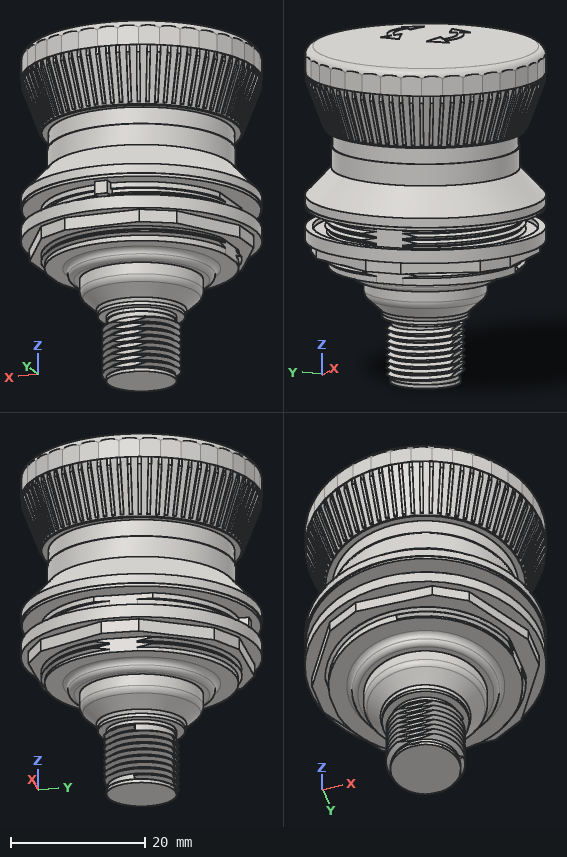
import cadquery as cq
import math


TOTAL_HEIGHT = 53.1
STEM_TOP = 10.0
COLLAR_EDGE = 10.5
COLLAR_TOP = 11.1
CONE_TOP = 12.95
HUB_FILLET_TOP = 14.0
HUB_TOP = 15.75
STEP_EDGE = 16.6
THREAD_BOTTOM = 17.6
NUT_BOTTOM = 19.75
NUT_TOP = 21.65
WASHER_TOP = 23.7
FLANGE_BOTTOM = 26.6
FLANGE_STEP = 27.1
FLANGE_TOP = 28.5
FLANGE_CONE_TOP = 32.65
BODY_TOP = 35.95
HEAD_BOTTOM = 38.55
BAND_BOTTOM = 47.1
RIM_TOP = 51.15

MAX_R = 36.0 / 2
COLLAR_R = 13.0 / 2
COLLAR_TOP_R = 6.75
HUB_R = 18.5 / 2
CONE_TOP_R = HUB_R - 0.4
STEP_R = 22.0 / 2
STEP_TOP_R = 11.8
FLANGE_STEP_R = 35.75 / 2
BODY_R = 28.15 / 2
NECK_R = 27.8 / 2
DOME_R = 33.7 / 2

STEM_THREAD_LENGTH = 7.95
STEM_THREAD_TURNS = 8
PITCH = STEM_THREAD_LENGTH / STEM_THREAD_TURNS
STEM_THREAD_START = 0.95
STEM_ROOT_R = 10.1 / 2
STEM_PLAIN_R = 10.5 / 2
STEM_LEAD = 0.6
STEM_CREST_R = 11.8 / 2
STEM_FLAT_WIDTH = 10.35
BODY_THREAD_START = 18.25
BODY_THREAD_TURNS = 7
BODY_THREAD_TURN_OFFSET = -90
BODY_SHOULDER = 25.75
BODY_ROOT_R = 28.95 / 2
BODY_CREST_R = 30.0 / 2
BODY_FLAT_WIDTH = 28.6
THREAD_OVERLAP = 0.05
RIDGE_HALF_WIDTH = 0.45 * PITCH

KEY_WIDTH = 2.0
KEY_REACH = 16.5
KEY_HEIGHT = 1.95

NUT_ACROSS_FLATS = 32.0
NUT_ACROSS_CUT_CORNERS = 33.7

WASHER_RECESS_R = 33.7 / 2
WASHER_RECESS_DEPTH = 0.7

FACETS = 36
RIM_RADIUS = 1.5
RIBS = 72
RIB_WIDTH = 0.5
RIB_R = 35.75 / 2
RIB_SLOPE_TOP = 46.0
RIB_FOOT_R = 15.25
RIB_FOOT = 39.05
RIB_HEIGHT = 0.3
CONE_FOOT_R = RIB_FOOT_R - RIB_HEIGHT
CONE_FOOT = 38.75

ARROW_RELIEF = 0.05
ARROW_OUTER_R = 5.75
ARROW_INNER_R = 4.8
ARROW_HEAD_ANGLE = 35.0
ARROW_HEAD_LENGTH = 2.9
ARROW_HEAD_WIDTH = 3.35
ARROW_HEAD_TILT = 45.0

DOME_SAG = TOTAL_HEIGHT - RIM_TOP
SPHERE_R = (DOME_R**2 + DOME_SAG**2) / (2 * DOME_SAG)


def cylinder(radius, bottom, top):
    return cq.Workplane("XY").workplane(offset=bottom).circle(radius).extrude(top - bottom)


def hexagon(across_flats, bottom, top, turn):
    corner_diameter = across_flats / math.cos(math.pi / 6)
    prism = cq.Workplane("XY").workplane(offset=bottom).polygon(6, corner_diameter).extrude(top - bottom)
    return prism.rotate((0, 0, 0), (0, 0, 1), turn)


def thread_ridge(root_r, crest_r, start, length):
    """A helical V-shaped ridge whose base is sunk a little into the core."""
    base_r = root_r - THREAD_OVERLAP
    path = cq.Wire.makeHelix(PITCH, length, base_r).translate(cq.Vector(0, 0, start))
    profile = (
        cq.Workplane("XZ")
        .polyline([
            (base_r, start - RIDGE_HALF_WIDTH),
            (crest_r, start),
            (base_r, start + RIDGE_HALF_WIDTH),
        ])
        .close()
    )
    return profile.sweep(cq.Workplane(path), isFrenet=True)


def threaded_stem():
    core = cylinder(STEM_ROOT_R, 0, STEM_TOP)
    lead = cylinder(STEM_PLAIN_R, 0, STEM_LEAD)
    shoulder = cylinder(STEM_PLAIN_R, STEM_TOP - STEM_LEAD, STEM_TOP)
    ridge = thread_ridge(STEM_ROOT_R, STEM_CREST_R, STEM_THREAD_START, STEM_THREAD_LENGTH)
    flats = cq.Workplane("XY").box(2 * MAX_R, STEM_FLAT_WIDTH, STEM_TOP, centered=(True, True, False))
    return core.union(lead).union(shoulder).union(ridge).intersect(flats)


def threaded_body():
    height = FLANGE_BOTTOM - THREAD_BOTTOM
    core = cylinder(BODY_ROOT_R, THREAD_BOTTOM, FLANGE_BOTTOM)
    plain_top = cylinder(BODY_CREST_R, BODY_SHOULDER, FLANGE_BOTTOM)
    ridge = thread_ridge(BODY_ROOT_R, BODY_CREST_R, BODY_THREAD_START, BODY_THREAD_TURNS * PITCH)
    ridge = ridge.rotate((0, 0, 0), (0, 0, 1), BODY_THREAD_TURN_OFFSET)
    flats = cq.Workplane("XY").workplane(offset=THREAD_BOTTOM).box(
        BODY_FLAT_WIDTH, 2 * MAX_R, height, centered=(True, True, False)
    )
    key = cq.Workplane("XY").workplane(offset=FLANGE_BOTTOM - KEY_HEIGHT).box(
        KEY_WIDTH, KEY_REACH, KEY_HEIGHT, centered=(True, False, False)
    )
    return core.union(plain_top).union(ridge).intersect(flats).union(key)


def connector_housing():
    """The stepped, rounded housing between the connector and the body thread."""
    step_fillet = STEP_EDGE - HUB_TOP
    fillet_width = HUB_R - CONE_TOP_R
    fillet_height = HUB_FILLET_TOP - CONE_TOP
    hub_fillet = (fillet_width**2 + fillet_height**2) / (2 * fillet_width)
    profile = (
        cq.Workplane("XZ")
        .moveTo(0, STEM_TOP)
        .lineTo(COLLAR_R, STEM_TOP)
        .lineTo(COLLAR_R, COLLAR_EDGE)
        .lineTo(COLLAR_TOP_R, COLLAR_TOP)
        .lineTo(CONE_TOP_R, CONE_TOP)
        .radiusArc((HUB_R, HUB_FILLET_TOP), -hub_fillet)
        .lineTo(HUB_R, HUB_TOP)
        .lineTo(STEP_R - step_fillet, HUB_TOP)
        .radiusArc((STEP_R, STEP_EDGE), -step_fillet)
        .radiusArc((STEP_TOP_R, THREAD_BOTTOM), THREAD_BOTTOM - STEP_EDGE)
        .lineTo(0, THREAD_BOTTOM)
        .close()
    )
    return profile.revolve()


def washer_and_nut():
    recess = cylinder(WASHER_RECESS_R, WASHER_TOP - WASHER_RECESS_DEPTH, WASHER_TOP)
    washer = cylinder(MAX_R, NUT_TOP, WASHER_TOP).cut(recess)
    nut = hexagon(NUT_ACROSS_FLATS, NUT_BOTTOM, NUT_TOP, 0)
    cut_corners = hexagon(NUT_ACROSS_CUT_CORNERS, NUT_BOTTOM, NUT_TOP, 30)
    return washer.union(nut.intersect(cut_corners))


def flange_and_neck():
    outline = [
        (0, FLANGE_BOTTOM),
        (FLANGE_STEP_R, FLANGE_BOTTOM),
        (FLANGE_STEP_R, FLANGE_STEP),
        (MAX_R, FLANGE_STEP),
        (MAX_R, FLANGE_TOP),
        (BODY_R, FLANGE_CONE_TOP),
        (BODY_R, BODY_TOP),
        (NECK_R, BODY_TOP),
        (NECK_R, HEAD_BOTTOM),
        (0, HEAD_BOTTOM),
    ]
    return cq.Workplane("XZ").polyline(outline).close().revolve()


def head_cap():
    """Domed cap with a rounded rim, cut by flat facets around its edge."""
    rim_width = MAX_R - DOME_R
    rim_drop = math.sqrt(RIM_RADIUS**2 - (RIM_RADIUS - rim_width) ** 2)
    cap = (
        cq.Workplane("XZ")
        .moveTo(0, BAND_BOTTOM)
        .lineTo(MAX_R, BAND_BOTTOM)
        .lineTo(MAX_R, RIM_TOP - rim_drop)
        .radiusArc((DOME_R, RIM_TOP), -RIM_RADIUS)
        .radiusArc((0, TOTAL_HEIGHT), -SPHERE_R)
        .close()
        .revolve()
    )
    prism_height = 2 * MAX_R
    facets = cq.Workplane("XY").workplane(offset=BAND_BOTTOM).polygon(FACETS, 2 * MAX_R).extrude(prism_height)
    return cap.intersect(facets)


def head_grip():
    """Cone under the cap, with straight ribs running down it."""
    cone_outline = [
        (0, HEAD_BOTTOM),
        (CONE_FOOT_R, HEAD_BOTTOM),
        (CONE_FOOT_R, CONE_FOOT),
        (RIB_R, BAND_BOTTOM),
        (0, BAND_BOTTOM),
    ]
    grip = cq.Workplane("XZ").polyline(cone_outline).close().revolve()
    root_r = CONE_FOOT_R - RIB_HEIGHT
    rib_outline = [
        (root_r, RIB_FOOT),
        (RIB_FOOT_R, RIB_FOOT),
        (RIB_R, RIB_SLOPE_TOP),
        (RIB_R, BAND_BOTTOM),
        (root_r, BAND_BOTTOM),
    ]
    rib = cq.Workplane("XZ").polyline(rib_outline).close().extrude(RIB_WIDTH / 2, both=True).val()
    turn = 360 / RIBS
    ribs = [rib.rotate(cq.Vector(), cq.Vector(0, 0, 1), i * turn) for i in range(RIBS)]
    return grip.newObject([grip.val().fuse(*ribs)])


def bearing_point(radius, angle):
    """Point at a radius from the axis, its angle measured from +Y towards +X."""
    return (radius * math.sin(math.radians(angle)), radius * math.cos(math.radians(angle)))


def arrow_prism():
    """A curved arrow with a head at each end, arching over the +Y side."""
    base_x, base_y = bearing_point((ARROW_OUTER_R + ARROW_INNER_R) / 2, ARROW_HEAD_ANGLE)
    along_x = math.cos(math.radians(ARROW_HEAD_TILT))
    along_y = -math.sin(math.radians(ARROW_HEAD_TILT))
    half_width = ARROW_HEAD_WIDTH / 2
    head_points = [
        (base_x - half_width * along_y, base_y + half_width * along_x),
        (base_x + ARROW_HEAD_LENGTH * along_x, base_y + ARROW_HEAD_LENGTH * along_y),
        (base_x + half_width * along_y, base_y - half_width * along_x),
    ]
    head = cq.Workplane("XY").polyline(head_points).close().extrude(TOTAL_HEIGHT)
    outer_x, outer_y = bearing_point(ARROW_OUTER_R, ARROW_HEAD_ANGLE)
    inner_x, inner_y = bearing_point(ARROW_INNER_R, ARROW_HEAD_ANGLE)
    shaft = (
        cq.Workplane("XY")
        .moveTo(-outer_x, outer_y)
        .threePointArc((0, ARROW_OUTER_R), (outer_x, outer_y))
        .lineTo(inner_x, inner_y)
        .threePointArc((0, ARROW_INNER_R), (-inner_x, inner_y))
        .close()
        .extrude(TOTAL_HEIGHT)
    )
    return shaft.union(head).union(head.mirror("YZ"))


def arrows():
    """Two opposite arrows standing slightly proud of the dome."""
    upper = arrow_prism()
    pair = upper.union(upper.mirror("XZ"))
    slab = cylinder(2 * ARROW_OUTER_R, RIM_TOP, TOTAL_HEIGHT)
    relief_ball = cq.Workplane("XY").sphere(SPHERE_R + ARROW_RELIEF)
    relief_ball = relief_ball.translate((0, 0, TOTAL_HEIGHT - SPHERE_R))
    return pair.intersect(slab).intersect(relief_ball)


result = (
    threaded_body()
    .union(threaded_stem())
    .union(connector_housing())
    .union(washer_and_nut())
    .union(flange_and_neck())
    .union(head_cap())
    .union(head_grip())
    .union(arrows())
)